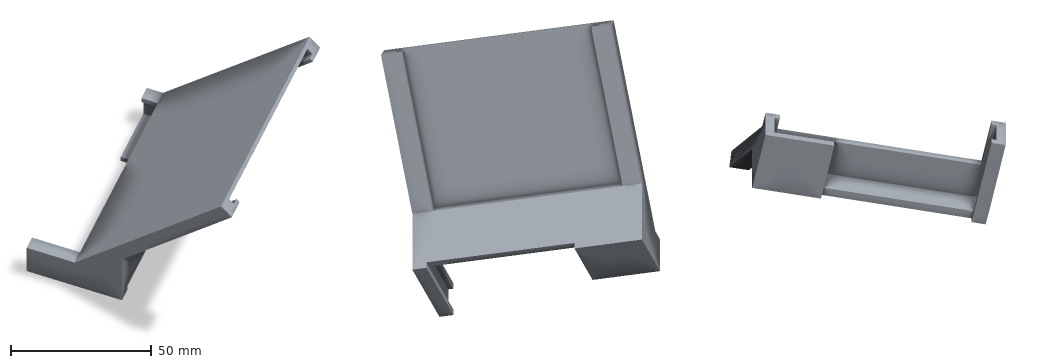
import cadquery as cq
import math

width = 85.0
half_width = width / 2
total_length = 78.9
total_height = 69.2

base_length = 36.6
base_height = 12.9
setback = 12.15

side_wall = 3.3
back_wall = side_wall
tray_floor = 2.2
tray_lip = 2.2
mouth_undercut = 0.21
arm_width = 5.2
wide_floor = 25.0

lean = math.radians(45)
plate_start = 18.45
plate_rise = total_height - base_height
plate_length = plate_rise / math.sin(lean)
plate_top_x = plate_start + plate_rise / math.tan(lean)
tip_run = total_length - plate_top_x
plate_thickness = tip_run / math.sin(lean)

channel_skin = 1.5
channel_lip = 1.6
channel_side = 4.85
channel_lip_width = 2.55
channel_shift = 0.25
channel_length = (total_length - base_length) / math.cos(lean)


def block(x_start, x_end, y_start, y_end, z_start, z_end):
    """Axis-aligned box given by its limits."""
    size = (x_end - x_start, y_end - y_start, z_end - z_start)
    return cq.Workplane("XY").box(*size, centered=False).translate((x_start, y_start, z_start))


def lean_back(plate_body):
    """Move a body from plate axes (X up the slope, Z out of the upper face) onto the base."""
    tilted = plate_body.rotate((0, 0, 0), (0, 1, 0), -math.degrees(lean))
    return tilted.translate((plate_start, 0, base_height))


def solid_body():
    """Base, wedge and leaning plate as one side outline extruded across the width."""
    underside_z = base_height + (base_length - total_length) * math.tan(lean) + plate_rise - tip_run
    outline = [
        (0, 0),
        (base_length, 0),
        (base_length, underside_z),
        (total_length, total_height - tip_run),
        (plate_top_x, total_height),
        (plate_start, base_height),
        (0, base_height),
    ]
    return cq.Workplane("XZ").polyline(outline).close().extrude(half_width, both=True)


def tray_cut():
    """Slot for the tray, with its openings through the floor and between the upper lips."""
    slot_top = base_height - tray_lip
    slot_half = half_width - side_wall
    mouth_half = half_width - arm_width
    slot = block(0, base_length - back_wall, -slot_half, slot_half, tray_floor, slot_top)
    floor_opening = block(0, base_length, -mouth_half, half_width - wide_floor, 0, tray_floor)

    mouth_end = plate_start + mouth_undercut
    upper_opening = (
        cq.Workplane("XZ")
        .polyline([(0, slot_top), (mouth_end, slot_top), (plate_start, base_height), (0, base_height)])
        .close()
        .extrude(mouth_half, both=True)
    )
    return slot.union(floor_opening).union(upper_opening)


def channel_cut():
    """T-shaped channel running down the underside of the plate from its tip."""
    channel_start = plate_length - channel_length
    lip_top = channel_lip - plate_thickness
    slot_half = half_width - channel_side
    mouth_half = slot_half - channel_lip_width
    slot = block(channel_start, plate_length, -slot_half, slot_half, lip_top, -channel_skin)
    mouth = block(channel_start, plate_length, -mouth_half, mouth_half, -plate_thickness, lip_top)
    return lean_back(slot.union(mouth).translate((0, channel_shift, 0)))


def setback_cut():
    """Shortens the base on the +Y side, leaving only the -Y arm in front."""
    return block(0, setback, arm_width - half_width, half_width, 0, base_height)


result = solid_body().cut(tray_cut()).cut(setback_cut()).cut(channel_cut())